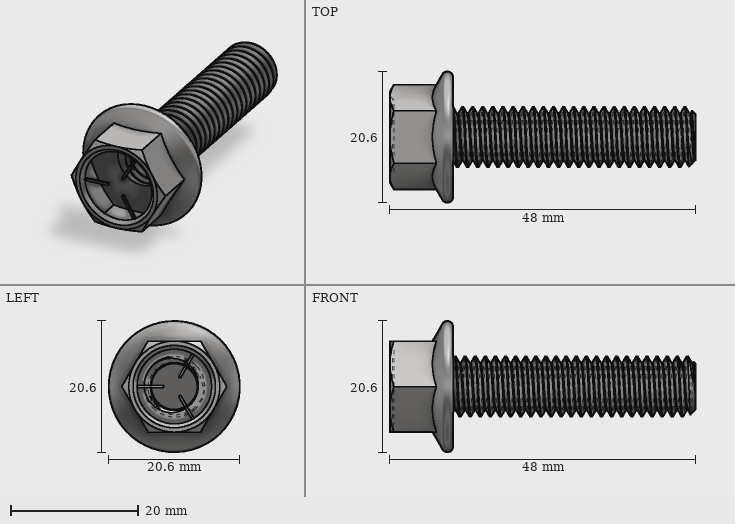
import cadquery as cq
import math

total_length = 48.0
head_height = 9.95

across_flats = 14.3
across_corners = across_flats / math.cos(math.radians(30))
head_slope = math.tan(math.radians(30))

flange_radius = 10.32
rim_radius = 0.9

dish_mouth_radius = 6.5
dish_floor_radius = 5.85
dish_depth = 0.62
mark_count = 3
mark_width = 0.4
mark_inner_radius = 1.65
mark_height = 0.3

major_radius = 4.75
thread_turns = 24
pitch = (total_length - head_height) / thread_turns
thread_depth = 1.0
root_radius = major_radius - thread_depth
crest_width = pitch / 8
flank_slope = math.tan(math.radians(30))
ridge_overlap = 0.1
crest_position = 11.45
tip_radius = 3.6


def revolve(outline):
    """Turn an outline of (radius, height) points about Z."""
    return outline.close().revolve(360, (0, 0, 0), (0, 1, 0))


def make_hexagon():
    corner_radius = across_corners / 2
    face_radius = across_flats / 2
    chamfer_height = (corner_radius - face_radius) * head_slope
    prism = cq.Workplane("XY").polygon(6, across_corners).extrude(head_height)
    envelope = revolve(
        cq.Workplane("XZ")
        .lineTo(face_radius, 0)
        .lineTo(corner_radius, chamfer_height)
        .lineTo(corner_radius, head_height)
        .lineTo(0, head_height)
    )
    return prism.intersect(envelope)


def make_flange():
    rim_center_radius = flange_radius - rim_radius
    rim_center_height = head_height - rim_radius
    tangent_radius = rim_center_radius + rim_radius * math.sin(math.radians(30))
    tangent_height = rim_center_height - rim_radius * math.cos(math.radians(30))
    apex_height = tangent_height - tangent_radius * head_slope
    return revolve(
        cq.Workplane("XZ")
        .moveTo(0, apex_height)
        .lineTo(tangent_radius, tangent_height)
        .threePointArc((flange_radius, rim_center_height), (rim_center_radius, head_height))
        .lineTo(0, head_height)
    )


def make_dish():
    return revolve(
        cq.Workplane("XZ")
        .lineTo(dish_mouth_radius, 0)
        .lineTo(dish_floor_radius, dish_depth)
        .lineTo(0, dish_depth)
    )


def make_grade_marks():
    """Raised bars with rounded ends, sunk as far into the dish floor as they stand out of it."""
    bar_length = dish_floor_radius - mark_inner_radius
    bar = (
        cq.Workplane("XY", origin=(0, 0, dish_depth - mark_height))
        .center(mark_inner_radius + bar_length / 2, 0)
        .slot2D(bar_length, mark_width)
        .extrude(2 * mark_height)
    )
    marks = cq.Workplane("XY")
    for i in range(mark_count):
        marks = marks.add(bar.rotate((0, 0, 0), (0, 0, 1), i * 360 / mark_count))
    return marks.combine()


def make_thread_ridge():
    """Right-handed ridge, overrunning the shank by about a pitch at each end."""
    turns_into_head = math.ceil((crest_position - head_height) / pitch) + 1
    start = crest_position - turns_into_head * pitch
    base_radius = root_radius - ridge_overlap
    half_crest = crest_width / 2
    half_base = half_crest + (major_radius - base_radius) * flank_slope
    path = cq.Wire.makeHelix(pitch, total_length + pitch - start, root_radius, cq.Vector(0, 0, start))
    return (
        cq.Workplane("XZ")
        .moveTo(base_radius, start - half_base)
        .lineTo(major_radius, start - half_crest)
        .lineTo(major_radius, start + half_crest)
        .lineTo(base_radius, start + half_base)
        .close()
        .sweep(cq.Workplane(path), isFrenet=True)
    )


def make_shank():
    """Threaded shank from the bearing face to the 45 degree chamfered tip."""
    envelope_radius = major_radius + 0.5
    core = (
        cq.Workplane("XY", origin=(0, 0, head_height))
        .circle(root_radius)
        .extrude(total_length - head_height)
    )
    envelope = revolve(
        cq.Workplane("XZ")
        .moveTo(0, head_height)
        .lineTo(envelope_radius, head_height)
        .lineTo(envelope_radius, total_length - (envelope_radius - tip_radius))
        .lineTo(tip_radius, total_length)
        .lineTo(0, total_length)
    )
    return core.intersect(envelope).union(make_thread_ridge().intersect(envelope))


head = make_hexagon().union(make_flange()).cut(make_dish()).union(make_grade_marks())
bolt = head.union(make_shank())

result = cq.Workplane(bolt.val().moved(cq.Location(cq.Plane.YZ())))